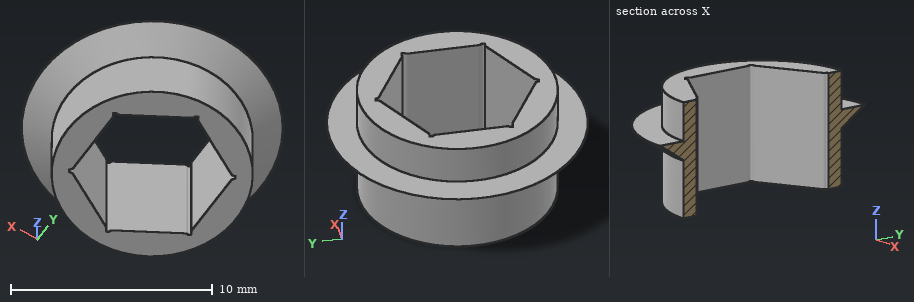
import cadquery as cq
import math

body_diameter = 10.0
body_height = 6.0
flange_diameter = 13.0
flange_top = 4.0
flange_thickness = 1.0

hex_sides = 6
hex_across_flats = 7.0
relief_radius = 0.1
neck_radius = 0.2


def make_body():
    """Revolve the cylinder with its flange: flat on top, conical underneath."""
    body_radius = body_diameter / 2
    flange_bottom = flange_top - flange_thickness
    half_section = [
        (0, 0),
        (body_radius, 0),
        (body_radius, flange_bottom),
        (flange_diameter / 2, flange_top),
        (body_radius, flange_top),
        (body_radius, body_height),
        (0, body_height),
    ]
    return cq.Workplane("XZ").polyline(half_section).close().revolve(360, (0, 0), (0, 1))


def corner_points():
    """Points of one corner, measured from the hexagon vertex as (radial, tangential).

    The relief circle is centred on the vertex. A neck arc, tangent to both the
    circle and the flat, joins them on each side. The points run from flat to flat:
    neck start, neck middle, neck end, relief tip, then the mirrored neck.
    """
    half_turn = math.pi / hex_sides
    flat_direction = cq.Vector(-math.sin(half_turn), math.cos(half_turn))
    flat_normal = cq.Vector(math.cos(half_turn), math.sin(half_turn))

    neck_start_distance = math.sqrt(relief_radius**2 + 2 * relief_radius * neck_radius)
    neck_start = flat_direction * neck_start_distance
    neck_centre = neck_start + flat_normal * neck_radius
    neck_end = neck_centre.normalized() * relief_radius
    toward_middle = ((neck_start + neck_end) * 0.5 - neck_centre).normalized()
    neck_middle = neck_centre + toward_middle * neck_radius

    leaving_neck = [(p.x, p.y) for p in (neck_end, neck_middle, neck_start)]
    entering_neck = [(radial, -tangential) for radial, tangential in reversed(leaving_neck)]
    return entering_neck + [(relief_radius, 0)] + leaving_neck


def place_corner(index):
    """Corner points moved to the hexagon vertex with this index."""
    vertex_radius = hex_across_flats / 2 / math.cos(math.pi / hex_sides)
    first_vertex_angle = math.pi / 2
    angle = first_vertex_angle + index * 2 * math.pi / hex_sides
    return [
        (
            (vertex_radius + radial) * math.cos(angle) - tangential * math.sin(angle),
            (vertex_radius + radial) * math.sin(angle) + tangential * math.cos(angle),
        )
        for radial, tangential in corner_points()
    ]


def make_bore():
    """Extrude the relieved hexagon through the full height."""
    corners = [place_corner(index) for index in range(hex_sides)]
    outline = cq.Workplane("XY").moveTo(*corners[-1][-1])
    for points in corners:
        outline = outline.lineTo(*points[0])
        outline = outline.threePointArc(points[1], points[2])
        outline = outline.threePointArc(points[3], points[4])
        outline = outline.threePointArc(points[5], points[6])
    return outline.close().extrude(body_height)


result = make_body().cut(make_bore())